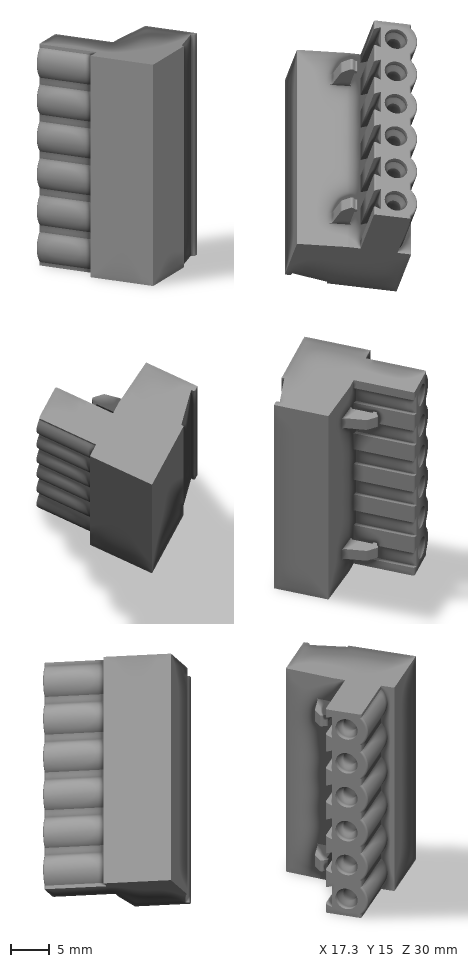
import cadquery as cq
import math

pole_count = 6
pole_pitch = 5.0
height = pole_count * pole_pitch
width = 17.3
depth = 15.0

nose_length = 8.3
front_taper_y = 8.3
front_top_x = 8.95
back_ledge_y = 9.2
back_taper_x = 16.95
lip_root_x = 15.9
lip_bottom_y = 14.15
lip_x = 16.4
lip_radius = 0.25
front_corner_radius = 0.1

nose_back_y = 6.7
web_y = 1.8
barrel_y = 3.8
barrel_radius = 2.85
nose_edge_radius = 0.25

socket_diameter = 3.0
socket_depth = 0.8
pin_hole_diameter = 1.8
cone_depth = (socket_diameter - pin_hole_diameter) / 2
pin_hole_depth = 5.0

slot_floor_y = 5.78
slot_mouth_width = 2.4
slot_floor_width = 3.1

hook_thickness = 1.6
hook_inset = 3.5
hook_embedding = 1.0
hook_underside_y = 8.2
hook_foot_radius = 0.25
hook_tooth_start_x = 4.65
hook_tooth_end_x = 5.2
hook_tooth_tip_y = 7.9
hook_tooth_radius = 0.12
hook_nose_bottom = (4.4, 8.48)
hook_nose_top = (4.4, 8.9)
hook_shoulder_start = (5.25, 9.75)
hook_shoulder_end = (5.65, 9.95)
hook_root = (8.15, 10.42)
hook_root_top_y = 10.8


def pole_heights():
    return [(index + 0.5) * pole_pitch for index in range(pole_count)]


def front_face_x(y):
    """X of the leaning face above the nose."""
    lean = (front_top_x - nose_length) / (depth - front_taper_y)
    return nose_length + lean * (y - front_taper_y)


def make_housing():
    arc_offset = lip_radius * (1 - math.sqrt(0.5))
    return (
        cq.Workplane("XY")
        .moveTo(nose_length, 0)
        .lineTo(width, 0)
        .lineTo(width, back_ledge_y)
        .lineTo(back_taper_x, back_ledge_y)
        .lineTo(lip_root_x, lip_bottom_y)
        .lineTo(lip_x - lip_radius, lip_bottom_y)
        .threePointArc(
            (lip_x - arc_offset, lip_bottom_y + arc_offset),
            (lip_x, lip_bottom_y + lip_radius),
        )
        .lineTo(lip_x, depth)
        .lineTo(front_top_x, depth)
        .lineTo(nose_length, front_taper_y)
        .close()
        .extrude(height)
        .edges(cq.selectors.NearestToPointSelector((front_top_x, depth, height / 2)))
        .fillet(front_corner_radius)
    )


def make_nose_slab():
    """Flat slab of the nose, rounded along its two leading edges."""
    return (
        cq.Workplane("XY")
        .box(nose_length, nose_back_y - web_y, height, centered=False)
        .translate((0, web_y, 0))
        .edges("<X and |Z")
        .fillet(nose_edge_radius)
    )


def make_barrel(z):
    """Half barrel along X with a rounded leading edge, trimmed to one pole pitch."""
    barrel = (
        cq.Workplane("YZ", origin=(0, barrel_y, z))
        .circle(barrel_radius)
        .extrude(nose_length)
        .faces("<X")
        .edges()
        .fillet(nose_edge_radius)
    )
    pole_space = (
        cq.Workplane("XY")
        .box(nose_length, barrel_y, pole_pitch, centered=False)
        .translate((0, 0, z - pole_pitch / 2))
    )
    return barrel.intersect(pole_space)


def make_socket(z):
    """Straight mouth, conical lead-in and blind pin hole along +X."""
    cone_end = socket_depth + cone_depth
    return (
        cq.Workplane("XY")
        .lineTo(0, socket_diameter / 2)
        .lineTo(socket_depth, socket_diameter / 2)
        .lineTo(cone_end, pin_hole_diameter / 2)
        .lineTo(pin_hole_depth, pin_hole_diameter / 2)
        .lineTo(pin_hole_depth, 0)
        .close()
        .revolve(360, (0, 0, 0), (1, 0, 0))
        .translate((0, barrel_y, z))
    )


def make_slot(z):
    """Dovetail running the full length of the nose."""
    return (
        cq.Workplane("YZ")
        .moveTo(slot_floor_y, z - slot_floor_width / 2)
        .lineTo(nose_back_y, z - slot_mouth_width / 2)
        .lineTo(nose_back_y, z + slot_mouth_width / 2)
        .lineTo(slot_floor_y, z + slot_floor_width / 2)
        .close()
        .extrude(nose_length)
    )


def make_hook(bottom_z):
    """Latch hook standing out of the leaning face above the nose."""
    embedded_x = nose_length + hook_embedding
    tooth_side_y = hook_tooth_tip_y + hook_tooth_radius
    return (
        cq.Workplane("XY", origin=(0, 0, bottom_z))
        .moveTo(embedded_x, hook_underside_y - hook_foot_radius)
        .lineTo(nose_length, hook_underside_y - hook_foot_radius)
        .radiusArc((nose_length - hook_foot_radius, hook_underside_y), hook_foot_radius)
        .lineTo(hook_tooth_end_x, hook_underside_y)
        .lineTo(hook_tooth_end_x, tooth_side_y)
        .radiusArc((hook_tooth_end_x - hook_tooth_radius, hook_tooth_tip_y), hook_tooth_radius)
        .lineTo(hook_tooth_start_x + hook_tooth_radius, hook_tooth_tip_y)
        .radiusArc((hook_tooth_start_x, tooth_side_y), hook_tooth_radius)
        .lineTo(hook_tooth_start_x, hook_underside_y)
        .lineTo(*hook_nose_bottom)
        .tangentArcPoint(hook_nose_top, relative=False)
        .lineTo(*hook_shoulder_start)
        .tangentArcPoint(hook_shoulder_end, relative=False)
        .lineTo(*hook_root)
        .tangentArcPoint((front_face_x(hook_root_top_y), hook_root_top_y), relative=False)
        .lineTo(embedded_x, hook_root_top_y)
        .close()
        .extrude(hook_thickness)
    )


result = make_housing().union(make_nose_slab())
for pole_z in pole_heights():
    result = result.union(make_barrel(pole_z))
for pole_z in pole_heights():
    result = result.cut(make_socket(pole_z)).cut(make_slot(pole_z))
for hook_z in (hook_inset, height - hook_inset - hook_thickness):
    result = result.union(make_hook(hook_z))